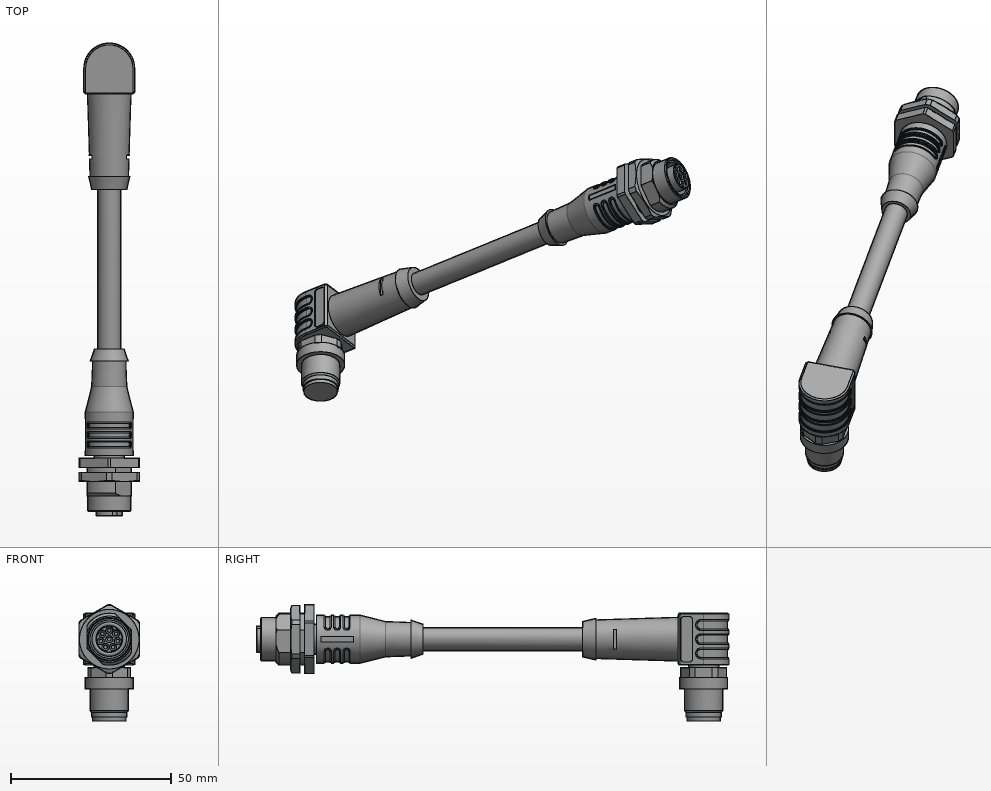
import cadquery as cq
import math

ALONG_Y = cq.Vector(0, 1, 0)
DOWN = cq.Vector(0, 0, -1)
FAR = 44.2

cable_d = 7.2

carrier_d = 8.3
carrier_chamfer = 0.1
shell_d = 13.5
shell_y = 1.3
shell_chamfer = 0.3
bore_d = 10.8
bore_depth = 4.4
bore_mouth_d = 12.0
bore_mouth_depth = 0.7
contact_hole_d = 1.15
contact_circle_d = 5.5
contact_hole_depth = 3.0
contact_mouth_d = 2.2
contact_mouth_depth = 0.3
outer_contacts = 7
key_turn = 180 / outer_contacts
key_d = 1.6

collar_d = 16.2
collar_y = 6.2
collar_chamfer = 0.9
collar_flats = 13.9
nut_flats = 19.0
front_nut_y = 10.6
front_nut_corner_d = 21.1
front_nut_bevel = 0.5
rear_nut_y = 15.0
rear_nut_corner_d = 21.5
nut_width = 3.0
rear_nut_end = rear_nut_y + nut_width

neck_d = 9.5
grip_d = 15.0
grip_y = 18.7
grip_end = 32.3
waist_d = 11.0
waist_y = 40.3
relief_d = 10.5
relief_rim_d = 12.0
relief_rim_y = 48.2
relief_end_d = 9.3
relief_end = 52.0
grip_groove_first_y = 22.3
grip_groove_count = 3
grip_groove_pitch = 3.0
grip_groove_width = 2.2
grip_groove_end_z = 2.8
grip_panel_y = 20.2
grip_panel_length = 10.2
grip_panel_height = 1.8
grip_panel_depth = 0.3

elbow_r = 8.0
elbow_height = 16.2
elbow_face_y = 131.5
elbow_tip_y = 147.5
plug_axis_y = elbow_tip_y - elbow_r
elbow_rim = 0.6
elbow_rim_inset = 0.3
elbow_corner = 0.6
elbow_groove_pitch = 4.4
elbow_groove_width = 3.4
elbow_groove_end_y = 137.0
elbow_panel_y = 132.5
elbow_panel_length = 3.5
elbow_panel_height = 14.2
elbow_panel_corner = 0.6
elbow_panel_depth = 0.3

groove_depth = 0.5
groove_step = 0.5

sleeve_big_d = 13.7
sleeve_small_d = 12.1
sleeve_rim_d = 13.0
sleeve_end_d = 11.0
sleeve_end = 101.8
sleeve_rim_y = 105.9
notch_y = 111.3
notch_width = 1.0
notch_floor_x = 5.5

elbow_bottom = -elbow_height / 2
plug_nut_flats = 13.3
plug_nut_corner_d = 14.3
plug_nut_z = -8.8
plug_ring_d = 15.0
plug_ring_z = -12.0
plug_thread_d = 12.0
plug_thread_z = -15.5
plug_thread_end = -22.3
plug_nose_d = 11.0
plug_nose_z = -22.9
plug_tip_d = 10.5
plug_tip_z = -24.3
plug_end = -25.5


def frustum(start, direction, length, start_d, end_d):
    """Solid of revolution tapering from start_d to end_d along direction."""
    if start_d == end_d:
        return cq.Workplane(cq.Solid.makeCylinder(start_d / 2, length, start, direction))
    return cq.Workplane(cq.Solid.makeCone(start_d / 2, end_d / 2, length, start, direction))


def along_cable(y_start, y_end, start_d, end_d=None):
    """Round section on the cable axis."""
    return frustum(cq.Vector(0, y_start, 0), ALONG_Y, y_end - y_start, start_d, end_d or start_d)


def along_plug(z_start, z_end, start_d, end_d=None):
    """Round section on the vertical plug axis, from z_start down to z_end."""
    start = cq.Vector(0, plug_axis_y, z_start)
    return frustum(start, DOWN, z_start - z_end, start_d, end_d or start_d)


def box(x_range, y_range, z_range):
    """Axis-aligned box between the given limits."""
    size = [high - low for low, high in (x_range, y_range, z_range)]
    corner = (x_range[0], y_range[0], z_range[0])
    return cq.Workplane("XY").box(*size, centered=False).translate(corner)


def hexagon(flats, height):
    """Hexagonal prism standing on Z = 0 with two flats facing +X and -X."""
    corner_d = flats / math.cos(math.pi / 6)
    return cq.Workplane("XY").polygon(6, corner_d).extrude(height).rotate((0, 0, 0), (0, 0, 1), 30)


def panel_nut(y_start, corner_d):
    """Hexagon nut on the cable axis with its corners turned round."""
    prism = hexagon(nut_flats, nut_width).rotate((0, 0, 0), (1, 0, 0), -90).translate((0, y_start, 0))
    return prism.intersect(along_cable(y_start, y_start + nut_width, corner_d))


def front_nut():
    """Nut whose front corners are also bevelled."""
    bevel_end = front_nut_y + front_nut_bevel
    envelope = along_cable(front_nut_y, bevel_end, nut_flats - front_nut_bevel, front_nut_corner_d)
    envelope = envelope.union(along_cable(bevel_end, front_nut_y + nut_width, front_nut_corner_d))
    return panel_nut(front_nut_y, front_nut_corner_d).intersect(envelope)


def collar():
    """Threaded collar with side flats and one pair of flats at 45 degrees."""
    straight_y = collar_y + collar_chamfer
    body = along_cable(collar_y, straight_y, collar_d - 2 * collar_chamfer, collar_d)
    body = body.union(along_cable(straight_y, rear_nut_end, collar_d))
    slab = box((-collar_flats / 2, collar_flats / 2), (0, FAR), (-FAR, FAR))
    return body.intersect(slab).intersect(slab.rotate((0, 0, 0), (0, 1, 0), -45))


def on_contact_face(radius, turn):
    """Point on the carrier face, turned from +Z towards +X by degrees."""
    angle = math.radians(turn)
    return cq.Vector(radius * math.sin(angle), 0, radius * math.cos(angle))


def socket_front():
    """Bored shell with the contact carrier and its sealing ring."""
    shell = along_cable(shell_y, collar_y, shell_d).faces("<Y").chamfer(shell_chamfer)
    floor_y = shell_y + bore_depth
    shell = shell.cut(along_cable(shell_y, floor_y, bore_d))
    shell = shell.cut(along_cable(shell_y, shell_y + bore_mouth_depth, bore_mouth_d))

    seal_r = (bore_d - carrier_d) / 4
    seal_center = cq.Vector(0, floor_y, 0)
    seal = cq.Workplane(cq.Solid.makeTorus((bore_d + carrier_d) / 4, seal_r, seal_center, ALONG_Y))

    carrier = along_cable(0, collar_y, carrier_d).faces("<Y").chamfer(carrier_chamfer)
    holes = [cq.Vector(0, 0, 0)]
    for index in range(outer_contacts):
        turn = index * 360 / outer_contacts
        holes.append(on_contact_face(contact_circle_d / 2, turn))
    for hole in holes:
        carrier = carrier.cut(frustum(hole, ALONG_Y, contact_hole_depth, contact_hole_d, contact_hole_d))
        carrier = carrier.cut(frustum(hole, ALONG_Y, contact_mouth_depth, contact_mouth_d, contact_hole_d))
    key = on_contact_face(carrier_d / 2, key_turn)
    carrier = carrier.cut(frustum(key, ALONG_Y, contact_hole_depth, key_d, key_d))
    return shell.union(seal).union(carrier)


def slot_bar(center_a, center_b, width):
    """Round-ended bar between two (Y, Z) points, running right through along X."""
    (y_a, z_a), (y_b, z_b) = center_a, center_b
    turn = math.degrees(math.atan2(z_b - z_a, y_b - y_a))
    length = math.hypot(y_b - y_a, z_b - z_a) + width
    middle = ((y_a + y_b) / 2, (z_a + z_b) / 2)
    return cq.Workplane("YZ").center(*middle).slot2D(length, width, turn).extrude(FAR, both=True)


def socket_grip():
    """Ribbed grip, tapering waist and flared strain relief."""
    body = along_cable(grip_y, grip_end, grip_d)
    for step in (1, 2):
        core = along_cable(grip_y, grip_end, grip_d - step * groove_depth)
        skin = along_cable(grip_y, grip_end, grip_d).cut(core)
        width = grip_groove_width - (step - 1) * 2 * groove_step
        for index in range(grip_groove_count):
            y = grip_groove_first_y + index * grip_groove_pitch
            inner_z = grip_groove_end_z + grip_groove_width / 2
            for side in (1, -1):
                bar = slot_bar((y, side * inner_z), (y, side * grip_d), width)
                body = body.cut(skin.intersect(bar))
    panel_x = grip_d / 2 - grip_panel_depth
    for x_range in ((panel_x, FAR), (-FAR, -panel_x)):
        y_range = (grip_panel_y, grip_panel_y + grip_panel_length)
        body = body.cut(box(x_range, y_range, (-grip_panel_height / 2, grip_panel_height / 2)))

    body = body.union(along_cable(rear_nut_end, grip_y, neck_d))
    body = body.union(along_cable(grip_end, waist_y, grip_d, waist_d))
    body = body.union(along_cable(waist_y, relief_rim_y, waist_d, relief_d))
    return body.union(along_cable(relief_rim_y, relief_end, relief_rim_d, relief_end_d))


def elbow_block(inset, height):
    """Plan outline of the elbow, half round at the far end, centred on Z = 0."""
    half = elbow_r - inset
    return (
        cq.Workplane("XY", origin=(0, 0, -height / 2))
        .moveTo(-half, elbow_face_y)
        .lineTo(half, elbow_face_y)
        .lineTo(half, plug_axis_y)
        .threePointArc((0, plug_axis_y + half), (-half, plug_axis_y))
        .close()
        .extrude(height)
    )


def elbow():
    """Elbow housing with wrap-around grip grooves and side panels."""
    block = elbow_block(0, elbow_height).edges("|Z and <Y").chamfer(elbow_corner)
    block = block.faces("<Z or >Z").chamfer(elbow_rim, elbow_rim_inset)
    for step in (1, 2):
        skin = elbow_block(0, elbow_height).cut(elbow_block(step * groove_depth / 2, elbow_height))
        width = elbow_groove_width - (step - 1) * 2 * groove_step
        for index in (-1, 0, 1):
            z = index * elbow_groove_pitch
            end_y = elbow_groove_end_y + elbow_groove_width / 2
            bar = slot_bar((end_y, z), (elbow_tip_y + elbow_r, z), width)
            block = block.cut(skin.intersect(bar))
    panel_x = elbow_r - elbow_panel_depth
    for x_range in ((panel_x, FAR), (-FAR, -panel_x)):
        y_range = (elbow_panel_y, elbow_panel_y + elbow_panel_length)
        panel = box(x_range, y_range, (-elbow_panel_height / 2, elbow_panel_height / 2))
        block = block.cut(panel.edges("|X").chamfer(elbow_panel_corner))
    return block


def sleeve():
    """Tapered sleeve from the elbow to the cable, notched on both sides."""
    body = along_cable(sleeve_rim_y, elbow_face_y, sleeve_small_d, sleeve_big_d)
    for x_range in ((notch_floor_x, FAR), (-FAR, -notch_floor_x)):
        body = body.cut(box(x_range, (notch_y, notch_y + notch_width), (-FAR, FAR)))
    return body.union(along_cable(sleeve_end, sleeve_rim_y, sleeve_end_d, sleeve_rim_d))


def plug():
    """Neck, hexagon, ring and stepped thread of the plug."""
    nut = hexagon(plug_nut_flats, plug_nut_z - plug_ring_z).translate((0, plug_axis_y, plug_ring_z))
    body = nut.intersect(along_plug(plug_nut_z, plug_ring_z, plug_nut_corner_d))
    body = body.union(along_plug(elbow_bottom, plug_nut_z, neck_d))
    body = body.union(along_plug(plug_ring_z, plug_thread_z, plug_ring_d))
    body = body.union(along_plug(plug_thread_z, plug_thread_end, plug_thread_d))
    body = body.union(along_plug(plug_thread_end, plug_nose_z, plug_thread_d, plug_nose_d))
    body = body.union(along_plug(plug_nose_z, plug_tip_z, plug_nose_d))
    return body.union(along_plug(plug_tip_z, plug_end, plug_tip_d))


result = (
    socket_front()
    .union(collar())
    .union(front_nut())
    .union(panel_nut(rear_nut_y, rear_nut_corner_d))
    .union(socket_grip())
    .union(along_cable(relief_end, sleeve_end, cable_d))
    .union(sleeve())
    .union(elbow())
    .union(plug())
)